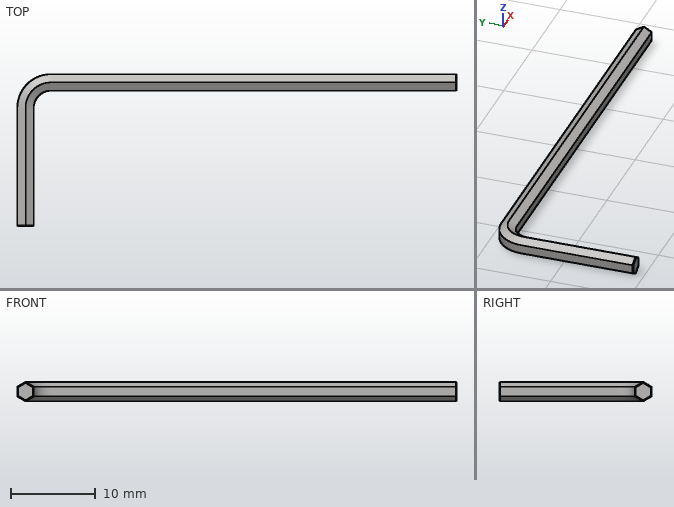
import cadquery as cq
import math

long_reach = 52.0
short_reach = 18.0
across_flats = 2.0
bend_radius = 3.0
tip_chamfer = 0.1

half_flats = across_flats / 2
across_corners = across_flats / math.cos(math.pi / 6)
bend_offset = bend_radius * (1 - math.sqrt(0.5))
bend_start = half_flats + bend_radius

short_tip = (half_flats, -short_reach)
short_bend = (half_flats, -bend_start)
bend_middle = (half_flats + bend_offset, -half_flats - bend_offset)
long_bend = (bend_start, -half_flats)
long_tip = (long_reach, -half_flats)


def swept_bar():
    """Hexagonal bar with corners up and down, swept around the bend."""
    path = (
        cq.Workplane("XY")
        .moveTo(*short_tip)
        .lineTo(*short_bend)
        .threePointArc(bend_middle, long_bend)
        .lineTo(*long_tip)
    )
    section = cq.Workplane("XZ", origin=(*short_tip, 0)).transformed(rotate=(0, 0, 90))
    return section.polygon(6, across_corners).sweep(path)


bar = swept_bar()
result = bar.faces("<Y or >X").chamfer(tip_chamfer)